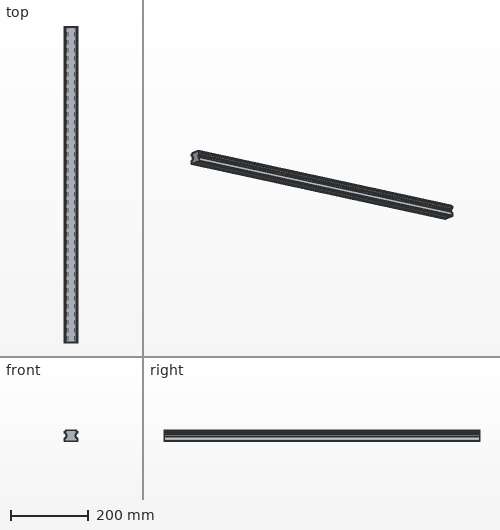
import cadquery as cq
import math

width = 34.0
height = 29.0
length = 810.0
half_width = width / 2

top_chamfer = 0.4
groove_radius = 3.5
head_side_bottom = 22.9
groove_floor = half_width - groove_radius
half_top = groove_floor - top_chamfer
upper_groove_top = height - top_chamfer
head_side_top = upper_groove_top - groove_radius
lower_groove_bottom = head_side_bottom - groove_radius

groove_wall = 0.5
head_bottom = lower_groove_bottom - groove_wall

half_neck = 11.75
neck_top = head_bottom - (groove_floor - half_neck)
neck_bottom = 12.4

base_round_radius = 1.0
base_corner_height = neck_bottom - (half_width - half_neck)
foot_chamfer = 1.5

half_relief = 8.7
relief_depth = 0.2

cos_45 = math.cos(math.pi / 4)


def half_outline():
    """Right half of the cross-section, from the underside up to the top, ending on the Z axis."""
    groove_middle = groove_radius * cos_45
    round_setback = base_round_radius * math.tan(math.pi / 8)
    return (
        cq.Workplane("XZ")
        .moveTo(0, relief_depth)
        .lineTo(half_relief, relief_depth)
        .lineTo(half_relief, 0)
        .lineTo(half_width - foot_chamfer, 0)
        .lineTo(half_width, foot_chamfer)
        .lineTo(half_width, base_corner_height - round_setback)
        .tangentArcPoint(
            (half_width - round_setback * cos_45, base_corner_height + round_setback * cos_45),
            relative=False,
        )
        .lineTo(half_neck, neck_bottom)
        .lineTo(half_neck, neck_top)
        .lineTo(groove_floor, head_bottom)
        .lineTo(groove_floor, lower_groove_bottom)
        .threePointArc(
            (half_width - groove_middle, lower_groove_bottom + groove_middle),
            (half_width, head_side_bottom),
        )
        .lineTo(half_width, head_side_top)
        .threePointArc(
            (half_width - groove_middle, upper_groove_top - groove_middle),
            (groove_floor, upper_groove_top),
        )
        .lineTo(half_top, height)
        .lineTo(0, height)
    )


result = half_outline().mirrorY().extrude(length / 2, both=True)